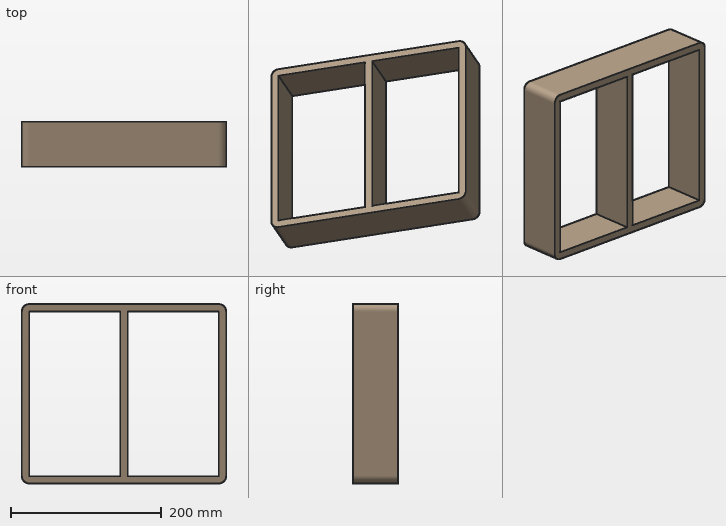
import cadquery as cq

width = 271.0
depth = 60.0
height = 238.0

wall = 10.0
corner_radius = wall

opening_width = (width - 3 * wall) / 2
opening_height = height - 2 * wall
opening_offset = (opening_width + wall) / 2


def outer_block():
    """Solid block with its four corners rounded along Y."""
    return cq.Workplane("XY").box(width, depth, height).edges("|Y").fillet(corner_radius)


def opening(center_x):
    """Square-cornered cutter that passes through the full depth."""
    return cq.Workplane("XY").box(opening_width, depth, opening_height).translate((center_x, 0, 0))


result = outer_block()
for side in (-1, 1):
    result = result.cut(opening(side * opening_offset))